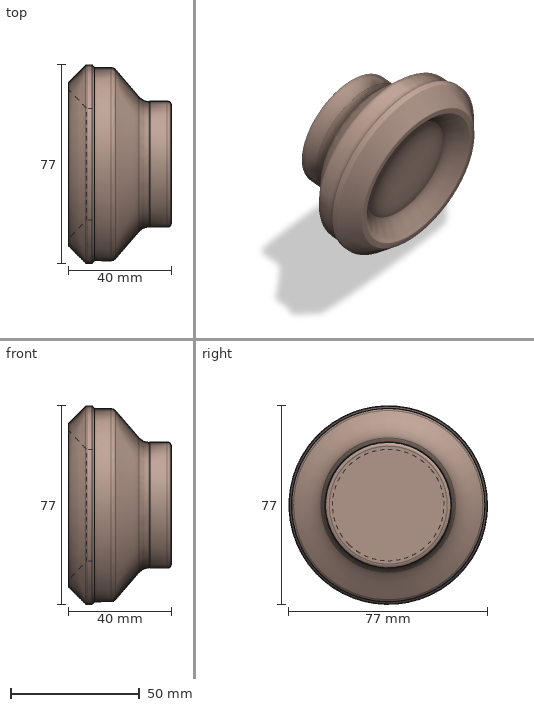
import cadquery as cq
import math

ring_radius = 38.5
ring_depth = 10.2
face_outer_radius = 31.6
face_inner_radius = 29.1
rim_start = 6.9
rim_end = 9.25
plug_radius = 21.65
recess_depth = 7.1
rim_fillet = 0.6
face_fillet = 0.6

total_length = 40.0
head_radius = 75.0 / 2
neck_radius = 48.6 / 2
collar_radius = 49.0 / 2
collar_start = 31.65
shoulder_x = 17.55
cone_angle = 49.3
shoulder_fillet = 2.3
neck_fillet = 5.1
collar_fillet = 1.6
cone_end = shoulder_x + (head_radius - neck_radius) / math.tan(math.radians(cone_angle))


def revolve_about_x(points):
    """Revolve a closed (x, radius) outline around the X axis."""
    outline = cq.Workplane("XY").polyline(points).close()
    return outline.revolve(360, (0, 0, 0), (1, 0, 0))


def circle_edge_at(x, radius):
    """Select the circular edge with this axial position and radius."""
    tolerance = 0.01
    reach = radius + tolerance
    inner = radius - tolerance
    outer_box = cq.selectors.BoxSelector(
        (x - tolerance, -reach, -reach), (x + tolerance, reach, reach), boundingbox=True
    )
    inner_box = cq.selectors.BoxSelector(
        (x - tolerance, -inner, -inner), (x + tolerance, inner, inner), boundingbox=True
    )
    return outer_box - inner_box


def round_corner(body, x, radius, fillet_radius):
    """Fillet the circular edge at this axial position and radius."""
    return body.edges(circle_edge_at(x, radius)).fillet(fillet_radius)


def make_bumper_ring():
    ring = revolve_about_x([
        (0, face_inner_radius),
        (0, face_outer_radius),
        (rim_start, ring_radius),
        (rim_end, ring_radius),
        (ring_depth, head_radius),
        (ring_depth, plug_radius),
        (recess_depth, plug_radius),
    ])
    for radius in (face_inner_radius, face_outer_radius):
        ring = round_corner(ring, 0, radius, face_fillet)
    for x in (rim_start, rim_end):
        ring = round_corner(ring, x, ring_radius, rim_fillet)
    return ring


def make_knob():
    knob = revolve_about_x([
        (recess_depth, 0),
        (recess_depth, plug_radius),
        (ring_depth, plug_radius),
        (ring_depth, head_radius),
        (shoulder_x, head_radius),
        (cone_end, neck_radius),
        (collar_start, neck_radius),
        (collar_start, collar_radius),
        (total_length, collar_radius),
        (total_length, 0),
    ])
    knob = round_corner(knob, shoulder_x, head_radius, shoulder_fillet)
    knob = round_corner(knob, cone_end, neck_radius, neck_fillet)
    return round_corner(knob, total_length, collar_radius, collar_fillet)


bumper_ring = make_bumper_ring()
knob = make_knob()

result = cq.Compound.makeCompound([bumper_ring.val(), knob.val()])